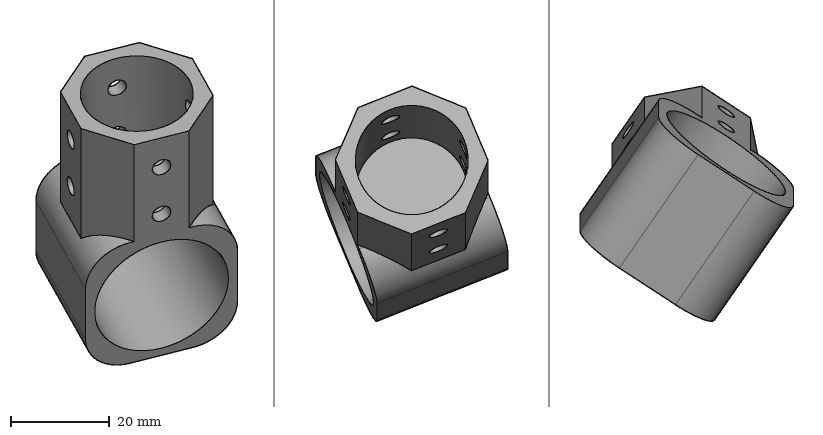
import cadquery as cq
import math

total_height = 59.35
sleeve_length = 28.6
sleeve_width = 32.9
sleeve_corner_radius = 9.6
sleeve_bore_diameter = 28.95
socket_bore_diameter = 22.85
pin_hole_diameter = 4.0
pin_hole_depths = (8.0, 20.7)

socket_top = total_height - sleeve_width / 2
socket_floor = sleeve_width / 2
octagon_sides = 8
octagon_half_angle = 180 / octagon_sides
octagon_corner_diameter = sleeve_length / math.cos(math.radians(octagon_half_angle))


def make_sleeve():
    """Horizontal rounded-square block along X."""
    return (
        cq.Workplane("YZ")
        .rect(sleeve_width, sleeve_width)
        .extrude(sleeve_length / 2, both=True)
        .edges("|X")
        .fillet(sleeve_corner_radius)
    )


def make_socket():
    """Upright octagonal column with flats facing X and Y, starting at the sleeve axis."""
    return (
        cq.Workplane("XY")
        .transformed(rotate=(0, 0, octagon_half_angle))
        .polygon(octagon_sides, octagon_corner_diameter)
        .extrude(socket_top)
    )


def make_pin_hole(plane, depth):
    """Cross hole through the whole socket along the normal of the plane."""
    return (
        cq.Workplane(plane)
        .center(0, socket_top - depth)
        .circle(pin_hole_diameter / 2)
        .extrude(sleeve_length, both=True)
    )


sleeve_bore = (
    cq.Workplane("YZ", origin=(-sleeve_length / 2, 0, 0))
    .circle(sleeve_bore_diameter / 2)
    .extrude(sleeve_length)
)

socket_bore = (
    cq.Workplane("XY")
    .workplane(offset=socket_floor)
    .circle(socket_bore_diameter / 2)
    .extrude(socket_top - socket_floor)
)

result = make_sleeve().union(make_socket()).cut(sleeve_bore).cut(socket_bore)

for hole_depth in pin_hole_depths:
    for hole_plane in ("XZ", "YZ"):
        result = result.cut(make_pin_hole(hole_plane, hole_depth))

result = result.translate((0, 0, sleeve_width / 2))